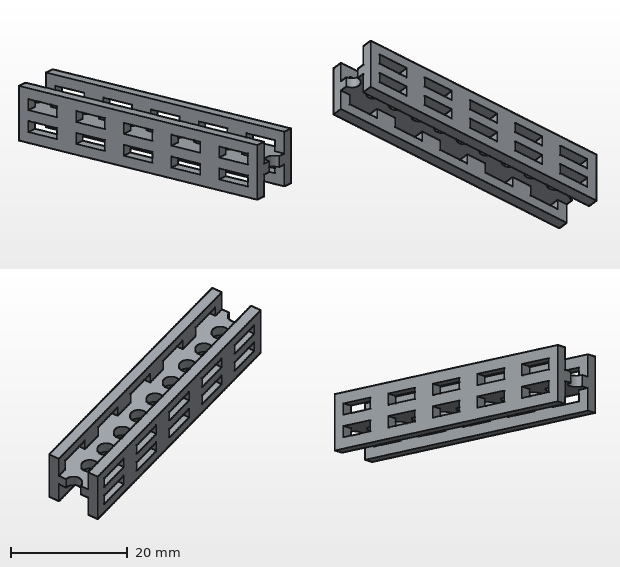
import cadquery as cq

length = 50
width = 10
height = 10
wall = 2

hole_diameter = 3
hole_pitch = 5
hole_count = length // hole_pitch + 1

window_length = 6
window_height = 2
window_pitch = 10
window_columns = length // window_pitch
window_rows = 2
window_row_spacing = wall + window_height


def make_rail():
    """Two upright flanges joined by a horizontal web at mid height."""
    rail = cq.Workplane("XY").box(length, width - 2 * wall, wall)
    for side in (-1, 1):
        flange = cq.Workplane("XY").box(length, wall, height)
        rail = rail.union(flange.translate((0, side * (width - wall) / 2, 0)))
    return rail


def make_web_holes():
    """Row of vertical cylinders, including the half holes at the ends."""
    return (
        cq.Workplane("XY")
        .rarray(hole_pitch, 0.5, hole_count, 1)
        .circle(hole_diameter / 2)
        .extrude(wall, both=True)
    )


def make_flange_windows():
    """Grid of rectangular bars crossing the full width."""
    return (
        cq.Workplane("XZ")
        .rarray(window_pitch, window_row_spacing, window_columns, window_rows)
        .rect(window_length, window_height)
        .extrude(width, both=True)
    )


result = make_rail().cut(make_web_holes()).cut(make_flange_windows())